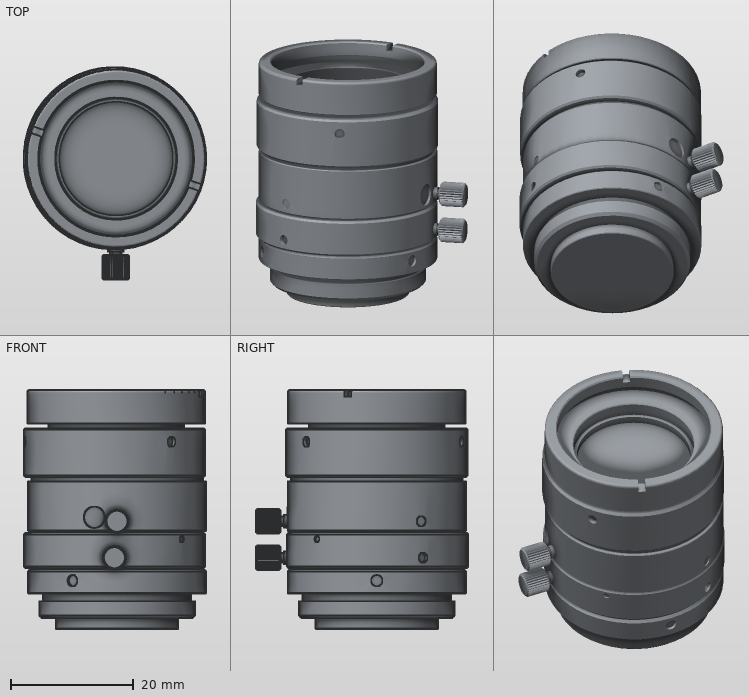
import cadquery as cq
import math

MAIN_AXIS = (0.0, 0.0)
FRONT_AXIS = (-0.14, 0.0)
FOCUS_AXIS = (-0.42, 0.0)
IRIS_AXIS = (-0.42, 0.13)

TAIL_TOP = 1.77
MOUNT_TOP = 4.55
MOUNT_NECK_TOP = 5.77
REAR_TOP = 9.65
IRIS_BOTTOM = 9.88
IRIS_TOP = 15.66
BODY_BOTTOM = 15.93
BODY_TOP = 24.07
FOCUS_BOTTOM = 24.70
FOCUS_TOP = 32.70
FRONT_BOTTOM = 33.38
TOTAL_HEIGHT = 38.91

TAIL_RADIUS = 10.0
MOUNT_RADIUS = 12.7
MOUNT_NECK_RADIUS = 12.1
BODY_RADIUS = 14.53
GROOVE_RADIUS = 14.0
GRIP_RADIUS = 14.78
FRONT_NECK_RADIUS = 11.05
FRONT_RADIUS = 14.5

FINE_CHAMFER = 0.12
GRIP_CHAMFER = 0.3
MOUNT_CHAMFER = 0.45
FRONT_FILLET = 0.45

THREAD_RADIUS = 12.5
THREAD_CHAMFER = 0.2
THREAD_DEPTH = 2.2
RELIEF_RADIUS = 13.2
RELIEF_DEPTH = 3.5
RETAINER_RADIUS = 9.8
RETAINER_CHAMFER = 0.15
RETAINER_DEPTH = 5.85
LENS_RADIUS = 9.25
LENS_DEPTH = 7.1

NOTCH_WIDTH = 1.15
NOTCH_DEPTH = 1.15
NOTCH_ANGLE = -19.0

HOLES_PER_RING = 3
CUTTER_CLEARANCE = 1.0
SET_SCREW_DIAMETER = 1.65
FOCUS_HOLE_DEPTH = 0.8
IRIS_HOLE_DEPTH = 0.8
BODY_HOLE_DEPTH = 0.2
FOCUS_HOLE_ANGLE = 69
FOCUS_HOLE_HEIGHT = 30.45
REAR_HOLE_DIAMETER = 1.85
REAR_HOLE_DEPTH = 0.5
REAR_HOLE_ANGLE = 0
REAR_HOLE_HEIGHT = 7.87
INDEX_DOT_DIAMETER = 1.05
INDEX_DOT_DEPTH = 0.3
INDEX_DOT_ANGLE = -42
INDEX_DOT_HEIGHT = 14.63
PAD_DIAMETER = 3.5
PAD_DEPTH = 0.5
PAD_ANGLE = 255
PAD_HEIGHT = 18.18

OVERALL_WIDTH_Y = 34.63
SCREW_ANGLE = 270
BODY_SCREW_HEIGHT = 17.53
IRIS_SCREW_HEIGHT = 11.6
SCREW_TIP_Y = IRIS_AXIS[1] + GRIP_RADIUS - OVERALL_WIDTH_Y
KNOB_RADIUS = 2.0
KNOB_CHAMFER = 0.3
KNOB_TEETH = 30
KNOB_TOOTH_DEPTH = 0.22
KNOB_LENGTH = 4.1
SCREW_NECK_RADIUS = 0.78
SCREW_NECK_LENGTH = 0.5
COLLAR_RADIUS = 1.07
COLLAR_EMBEDMENT = 1.0


def disc(axis, radius, bottom, top):
    """Plain cylinder between two heights."""
    return cq.Workplane("XY", origin=(axis[0], axis[1], bottom)).circle(radius).extrude(top - bottom)


def cone_cut(axis, radius, top, chamfer):
    """Cone that breaks the upper edge of a bore ending at height top."""
    cone = cq.Solid.makeCone(radius, radius + chamfer, chamfer, cq.Vector(axis[0], axis[1], top - chamfer))
    return cq.Workplane(obj=cone)


def radial_hole(axis, surface_radius, angle, height, diameter, depth):
    """Cutter for a blind hole entering a ring from outside, towards its axis."""
    outward = cq.Vector(math.cos(math.radians(angle)), math.sin(math.radians(angle)), 0)
    floor = cq.Vector(axis[0], axis[1], height) + outward * (surface_radius - depth)
    return cq.Workplane(obj=cq.Solid.makeCylinder(diameter / 2, depth + CUTTER_CLEARANCE, floor, outward))


def drill(ring, axis, surface_radius, angles, height, diameter, depth):
    """Cut the same blind radial hole at each of the given angles."""
    for angle in angles:
        ring = ring.cut(radial_hole(axis, surface_radius, angle, height, diameter, depth))
    return ring


def thirds(start_angle):
    """Three equally spaced angles, beginning at start_angle."""
    return [start_angle + i * 360 / HOLES_PER_RING for i in range(HOLES_PER_RING)]


def spare_screw_angles():
    """The two screw positions that hold no thumb screw."""
    return thirds(SCREW_ANGLE)[1:]


def core():
    """Rear tail, mount thread and the necks that join the rings."""
    tail = disc(MAIN_AXIS, TAIL_RADIUS, 0, TAIL_TOP).faces("<Z").chamfer(FINE_CHAMFER)
    mount = disc(MAIN_AXIS, MOUNT_RADIUS, TAIL_TOP, MOUNT_TOP).faces("<Z").chamfer(MOUNT_CHAMFER)
    mount_neck = disc(MAIN_AXIS, MOUNT_NECK_RADIUS, MOUNT_TOP, MOUNT_NECK_TOP)
    front_neck = disc(FRONT_AXIS, FRONT_NECK_RADIUS, FOCUS_TOP, FRONT_BOTTOM)
    joined = tail.union(mount).union(mount_neck).union(front_neck)
    for bottom, top in ((REAR_TOP, IRIS_BOTTOM), (IRIS_TOP, BODY_BOTTOM), (BODY_TOP, FOCUS_BOTTOM)):
        joined = joined.union(disc(MAIN_AXIS, GROOVE_RADIUS, bottom, top))
    return joined


def rear_ring():
    """Fixed ring above the mount, with three clamp-screw holes."""
    ring = disc(MAIN_AXIS, BODY_RADIUS, MOUNT_NECK_TOP, REAR_TOP)
    ring = ring.faces("<Z").chamfer(FINE_CHAMFER).faces(">Z").chamfer(GRIP_CHAMFER)
    return drill(ring, MAIN_AXIS, BODY_RADIUS, thirds(REAR_HOLE_ANGLE), REAR_HOLE_HEIGHT,
                 REAR_HOLE_DIAMETER, REAR_HOLE_DEPTH)


def iris_ring():
    """Aperture grip with its spare screw holes and index dot."""
    ring = disc(IRIS_AXIS, GRIP_RADIUS, IRIS_BOTTOM, IRIS_TOP).faces("<Z or >Z").chamfer(GRIP_CHAMFER)
    ring = drill(ring, IRIS_AXIS, GRIP_RADIUS, spare_screw_angles(), IRIS_SCREW_HEIGHT,
                 SET_SCREW_DIAMETER, IRIS_HOLE_DEPTH)
    return drill(ring, IRIS_AXIS, GRIP_RADIUS, [INDEX_DOT_ANGLE], INDEX_DOT_HEIGHT,
                 INDEX_DOT_DIAMETER, INDEX_DOT_DEPTH)


def body_ring():
    """Fixed middle barrel with spare screw holes and the round pad recess."""
    ring = disc(MAIN_AXIS, BODY_RADIUS, BODY_BOTTOM, BODY_TOP).faces("<Z or >Z").chamfer(FINE_CHAMFER)
    ring = drill(ring, MAIN_AXIS, BODY_RADIUS, spare_screw_angles(), BODY_SCREW_HEIGHT,
                 SET_SCREW_DIAMETER, BODY_HOLE_DEPTH)
    return drill(ring, MAIN_AXIS, BODY_RADIUS, [PAD_ANGLE], PAD_HEIGHT, PAD_DIAMETER, PAD_DEPTH)


def focus_ring():
    """Focus grip with three set-screw holes."""
    ring = disc(FOCUS_AXIS, GRIP_RADIUS, FOCUS_BOTTOM, FOCUS_TOP).faces("<Z or >Z").chamfer(GRIP_CHAMFER)
    return drill(ring, FOCUS_AXIS, GRIP_RADIUS, thirds(FOCUS_HOLE_ANGLE), FOCUS_HOLE_HEIGHT,
                 SET_SCREW_DIAMETER, FOCUS_HOLE_DEPTH)


def front_ring():
    """Front rim, rounded on its outer top edge."""
    ring = disc(FRONT_AXIS, FRONT_RADIUS, FRONT_BOTTOM, TOTAL_HEIGHT)
    return ring.faces("<Z").chamfer(FINE_CHAMFER).faces(">Z").edges().fillet(FRONT_FILLET)


def front_opening():
    """Cutter for the stepped bore in the front end."""
    thread_end = TOTAL_HEIGHT - THREAD_DEPTH
    floor = TOTAL_HEIGHT - RELIEF_DEPTH
    ledge = TOTAL_HEIGHT - RETAINER_DEPTH
    cutter = disc(FRONT_AXIS, THREAD_RADIUS, thread_end, TOTAL_HEIGHT)
    cutter = cutter.union(cone_cut(FRONT_AXIS, THREAD_RADIUS, TOTAL_HEIGHT, THREAD_CHAMFER))
    cutter = cutter.union(disc(FRONT_AXIS, RELIEF_RADIUS, floor, thread_end))
    cutter = cutter.union(disc(FRONT_AXIS, RETAINER_RADIUS, ledge, floor))
    cutter = cutter.union(cone_cut(FRONT_AXIS, RETAINER_RADIUS, floor, RETAINER_CHAMFER))
    return cutter.union(disc(FRONT_AXIS, LENS_RADIUS, TOTAL_HEIGHT - LENS_DEPTH, ledge))


def spanner_notches():
    """Bar crossing the whole rim, cutting both notches at once."""
    bar = cq.Workplane("XY").box(3 * FRONT_RADIUS, NOTCH_WIDTH, NOTCH_DEPTH, centered=(True, True, False))
    bar = bar.rotate((0, 0, 0), (0, 0, 1), NOTCH_ANGLE)
    return bar.translate((FRONT_AXIS[0], FRONT_AXIS[1], TOTAL_HEIGHT - NOTCH_DEPTH))


def thumb_screw(axis, height):
    """Knurled knob, neck and collar; the collar runs into the barrel."""
    knob_end = SCREW_TIP_Y + KNOB_LENGTH
    neck_end = knob_end + SCREW_NECK_LENGTH
    buried_end = -GROOVE_RADIUS + COLLAR_EMBEDMENT

    def turned(radius, start_y, end_y):
        return cq.Workplane("XZ", origin=(axis[0], end_y, height)).circle(radius).extrude(end_y - start_y)

    outline = []
    half_tooth = math.pi / KNOB_TEETH
    for i in range(2 * KNOB_TEETH):
        radius = KNOB_RADIUS - KNOB_TOOTH_DEPTH * (i % 2)
        angle = math.pi / 2 + i * half_tooth
        outline.append((radius * math.cos(angle), radius * math.sin(angle)))
    toothed = cq.Workplane("XZ", origin=(axis[0], knob_end, height)).polyline(outline).close()
    blank = turned(KNOB_RADIUS, SCREW_TIP_Y, knob_end).faces("<Y or >Y").chamfer(KNOB_CHAMFER)
    knob = toothed.extrude(KNOB_LENGTH).intersect(blank)

    neck = turned(SCREW_NECK_RADIUS, knob_end, neck_end)
    collar = turned(COLLAR_RADIUS, neck_end, buried_end)
    return knob.union(neck).union(collar)


result = core()
for section in (rear_ring(), iris_ring(), body_ring(), focus_ring(), front_ring()):
    result = result.union(section)
result = result.cut(front_opening()).cut(spanner_notches())
result = result.union(thumb_screw(MAIN_AXIS, BODY_SCREW_HEIGHT))
result = result.union(thumb_screw(IRIS_AXIS, IRIS_SCREW_HEIGHT))